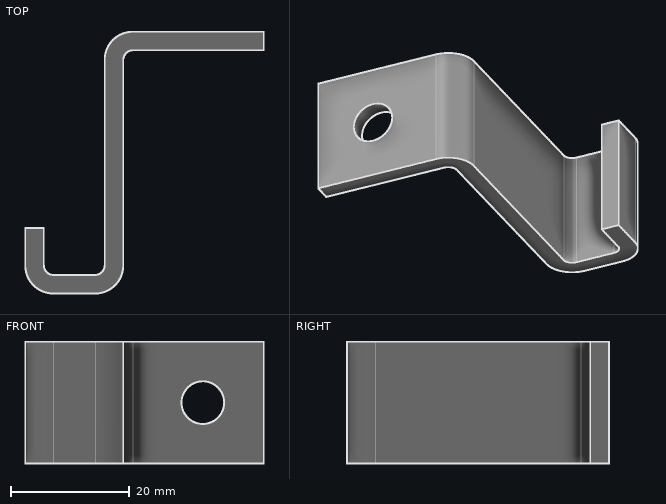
import cadquery as cq

length_x = 40.45
length_y = 44.4
width_z = 20.65

thickness = 3.2
inner_radius = 1.6
outer_radius = inner_radius + thickness

hook_width = 16.65
lip_height = 11.15

hole_diameter = 7.2
hole_edge_distance = 10.35

web_right = hook_width
web_left = web_right - thickness
flange_inside = length_y - thickness

lip_bend = ((thickness, thickness), (0, 0))
hook_bend = ((web_left, thickness), (web_right, 0))
flange_bend = ((web_right, flange_inside), (web_left, length_y))
bends = (lip_bend, hook_bend, flange_bend)


def round_corner(body, corner, radius):
    """Round the upright edge that passes through an XY corner."""
    x, y = corner
    edge = cq.selectors.NearestToPointSelector((x, y, width_z / 2))
    return body.edges("|Z").edges(edge).fillet(radius)


def bent_strip():
    """Extrude the sharp strip outline and round both sides of each bend."""
    outline = [
        (0, lip_height),
        lip_bend[1],
        hook_bend[1],
        flange_bend[0],
        (length_x, flange_inside),
        (length_x, length_y),
        flange_bend[1],
        hook_bend[0],
        lip_bend[0],
        (thickness, lip_height),
    ]
    body = cq.Workplane("XY").polyline(outline).close().extrude(width_z)
    for inner_corner, outer_corner in bends:
        body = round_corner(body, inner_corner, inner_radius)
        body = round_corner(body, outer_corner, outer_radius)
    return body


def mounting_hole():
    """Cylinder along Y through the flange only."""
    return (
        cq.Workplane("XZ", origin=(length_x - hole_edge_distance, length_y, width_z / 2))
        .circle(hole_diameter / 2)
        .extrude(thickness)
    )


result = bent_strip().cut(mounting_hole())